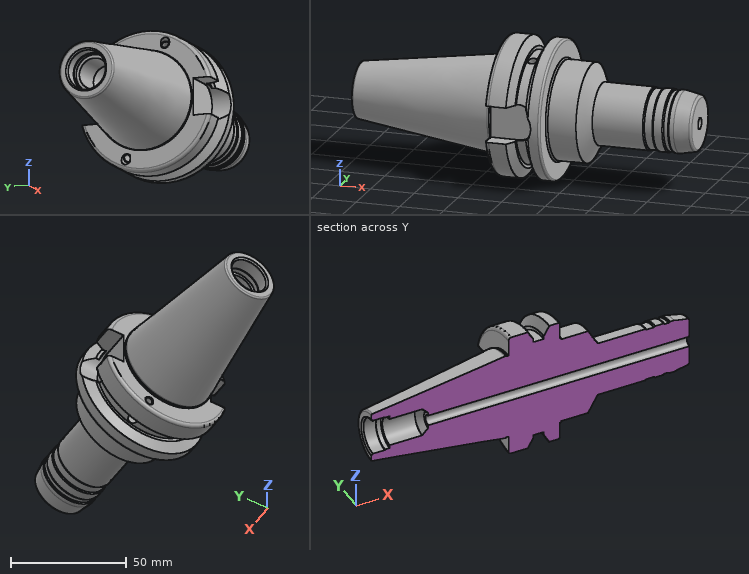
import cadquery as cq
import math

length = 155.4

taper_end_x = 65.1
taper_diameter = 44.5
taper_ratio = 7 / 24
tail_diameter = taper_diameter - taper_ratio * taper_end_x
tail_fillet = 0.8

neck_diameter = 44.0
neck_start_x = 66.0

flange_start_x = 67.0
flange_end_x = 92.3
flange_diameter = 63.0
flange_front_fillet = 1.5
flange_back_fillet = 1.0
groove_floor_diameter = 50.5
groove_mid_x = 81.7
groove_floor_width = 5.0
groove_side_depth = 4.7
groove_side_run = groove_side_depth * math.tan(math.radians(30))

body_diameter = 44.5
body_base_relief = 0.8
body_end_x = 106.0
shoulder_angle = 30.0

nose_diameter = 28.0
shoulder_run = (body_diameter - nose_diameter) / 2 * math.tan(math.radians(shoulder_angle))
shoulder_end_x = body_end_x + shoulder_run
ring_floor_diameter = 27.0
ring_side_run = 0.6
ring_spans = [(133.8, 138.6), (142.7, 145.8)]
nose_taper_x = 147.8
tip_diameter = 24.9
tip_fillet = 1.2

bore_chamfer = 0.8
pilot_diameter = 17.5
pilot_depth = 6.7
thread_relief_diameter = 17.0
thread_relief_depth = 9.0
thread_diameter = 13.8
thread_depth = 24.9
cone_end_diameter = 8.0
cone_depth = 27.8
through_diameter = 5.0

slot_width = 16.5
slot_end_x = 88.3
slot_floor_y = 22.5

coolant_angle = 20.0
coolant_slant = 30.0
coolant_entry_radius = 26.9
coolant_entry_diameter = 4.0
coolant_entry_depth = 1.5
coolant_diameter = 3.3
coolant_run = groove_mid_x - flange_start_x
coolant_meet_radius = coolant_entry_radius - coolant_run * math.tan(math.radians(coolant_slant))


def revolve_about_x(profile):
    return profile.close().revolve(360, (0, 0, 0), (1, 0, 0))


def cylinder_along_x(diameter, start_x, end_x):
    return cq.Workplane("YZ", origin=(start_x, 0, 0)).circle(diameter / 2).extrude(end_x - start_x)


def make_shank():
    shank = revolve_about_x(
        cq.Workplane("XY")
        .lineTo(0, tail_diameter / 2)
        .lineTo(taper_end_x, taper_diameter / 2)
        .lineTo(neck_start_x, taper_diameter / 2)
        .lineTo(neck_start_x, neck_diameter / 2)
        .lineTo(flange_start_x, neck_diameter / 2)
        .lineTo(flange_start_x, 0)
    )
    return shank.faces("<X").edges().fillet(tail_fillet)


def make_flange():
    flange = cylinder_along_x(flange_diameter, flange_start_x, flange_end_x)
    flange = flange.faces("<X").edges().fillet(flange_front_fillet)
    flange = flange.faces(">X").edges().fillet(flange_back_fillet)
    rim = flange_diameter / 2
    floor_half = groove_floor_width / 2
    top_half = floor_half + groove_side_run
    groove = revolve_about_x(
        cq.Workplane("XY")
        .moveTo(groove_mid_x - top_half, rim)
        .lineTo(groove_mid_x - floor_half, rim - groove_side_depth)
        .lineTo(groove_mid_x - floor_half, groove_floor_diameter / 2)
        .lineTo(groove_mid_x + floor_half, groove_floor_diameter / 2)
        .lineTo(groove_mid_x + floor_half, rim - groove_side_depth)
        .lineTo(groove_mid_x + top_half, rim)
    )
    return flange.cut(groove)


def make_body():
    base_radius = body_diameter / 2 + body_base_relief
    return revolve_about_x(
        cq.Workplane("XY")
        .moveTo(flange_end_x, 0)
        .lineTo(flange_end_x, base_radius)
        .lineTo(flange_end_x + body_base_relief, body_diameter / 2)
        .lineTo(body_end_x, body_diameter / 2)
        .lineTo(shoulder_end_x, nose_diameter / 2)
        .lineTo(shoulder_end_x, 0)
    )


def make_nose():
    profile = (
        cq.Workplane("XY")
        .moveTo(shoulder_end_x, 0)
        .lineTo(shoulder_end_x, nose_diameter / 2)
    )
    for start_x, end_x in ring_spans:
        profile = (
            profile.lineTo(start_x, nose_diameter / 2)
            .lineTo(start_x + ring_side_run, ring_floor_diameter / 2)
            .lineTo(end_x - ring_side_run, ring_floor_diameter / 2)
            .lineTo(end_x, nose_diameter / 2)
        )
    profile = (
        profile.lineTo(nose_taper_x, nose_diameter / 2)
        .lineTo(length, tip_diameter / 2)
        .lineTo(length, 0)
    )
    return revolve_about_x(profile).faces(">X").edges().fillet(tip_fillet)


def make_bore():
    return revolve_about_x(
        cq.Workplane("XY")
        .lineTo(0, pilot_diameter / 2 + bore_chamfer)
        .lineTo(bore_chamfer, pilot_diameter / 2)
        .lineTo(pilot_depth, pilot_diameter / 2)
        .lineTo(pilot_depth, thread_relief_diameter / 2)
        .lineTo(thread_relief_depth, thread_relief_diameter / 2)
        .lineTo(thread_relief_depth, thread_diameter / 2)
        .lineTo(thread_depth, thread_diameter / 2)
        .lineTo(cone_depth, cone_end_diameter / 2)
        .lineTo(cone_depth, through_diameter / 2)
        .lineTo(length, through_diameter / 2)
        .lineTo(length, 0)
    )


def make_drive_slot():
    slot_radius = slot_width / 2
    straight_end_x = slot_end_x - slot_radius
    slot_depth = flange_diameter / 2 - slot_floor_y
    return (
        cq.Workplane("XZ", origin=(0, -slot_floor_y, 0))
        .moveTo(flange_start_x, -slot_radius)
        .lineTo(straight_end_x, -slot_radius)
        .threePointArc((slot_end_x, 0), (straight_end_x, slot_radius))
        .lineTo(flange_start_x, slot_radius)
        .close()
        .extrude(slot_depth)
    )


def make_coolant_holes():
    slant = math.radians(coolant_slant)
    direction = cq.Vector(math.cos(slant), 0, -math.sin(slant))
    entry = cq.Vector(flange_start_x, 0, coolant_entry_radius)
    lead = coolant_entry_diameter
    start = entry - direction * lead
    drill_length = lead + coolant_run / math.cos(slant)
    drill = cq.Solid.makeCylinder(coolant_diameter / 2, drill_length, start, direction)
    entry_bore = cq.Solid.makeCylinder(
        coolant_entry_diameter / 2, lead + coolant_entry_depth, start, direction
    )
    radial = cq.Solid.makeCylinder(
        coolant_entry_diameter / 2,
        groove_floor_diameter / 2 - coolant_meet_radius,
        cq.Vector(groove_mid_x, 0, coolant_meet_radius),
        cq.Vector(0, 0, 1),
    )
    holes = cq.Workplane(drill).union(cq.Workplane(entry_bore)).union(cq.Workplane(radial))
    return holes.rotate((0, 0, 0), (1, 0, 0), coolant_angle)


result = make_shank().union(make_flange()).union(make_body()).union(make_nose())
result = result.cut(make_bore())

for turn in (0, 180):
    for cutter in (make_drive_slot(), make_coolant_holes()):
        result = result.cut(cutter.rotate((0, 0, 0), (1, 0, 0), turn))